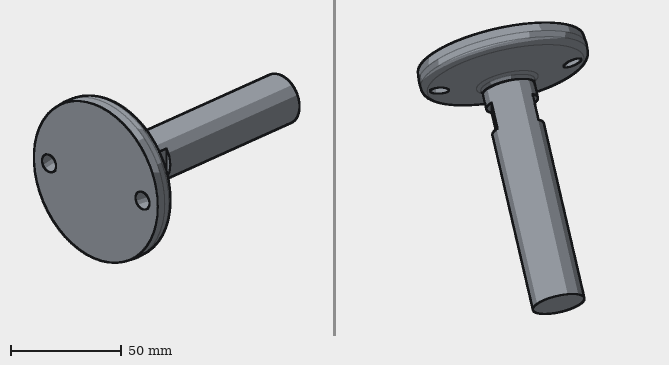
import cadquery as cq
import math

total_length = 122.0
foot_diameter = 78.0
shaft_diameter = 24.0

widest_height = 4.1
bottom_radius = 38.5
rim_radius = 38.8
rim_height = 7.1
shoulder_round = 2.9
cone_angle = math.radians(9.5)

root_round = 2.7
neck_angle = math.radians(55)
neck_base_radius = 12.6
neck_top_radius = 11.2
neck_top_height = 16.7

flats_width = 19.0
flats_start = 23.9
flats_length = 12.6

hole_diameter = 8.5
hole_offset = 29.0


def arc_point(center, radius, angle):
    """Point on an arc, with the angle measured from the radial direction."""
    return (center[0] + radius * math.cos(angle), center[1] + radius * math.sin(angle))


def make_foot():
    """Revolve the disc, its conical top and the neck about Y."""
    shoulder_center = (rim_radius - shoulder_round, rim_height)
    cone_normal = math.pi / 2 - cone_angle
    shoulder_middle = arc_point(shoulder_center, shoulder_round, cone_normal / 2)
    cone_outer = arc_point(shoulder_center, shoulder_round, cone_normal)

    root_start = cone_normal + math.pi
    root_end = math.pi * 1.5 - neck_angle
    root_center_radius = neck_base_radius - root_round * math.cos(root_end)
    cone_inner_radius = root_center_radius + root_round * math.cos(root_start)
    cone_inner_height = cone_outer[1] + (cone_outer[0] - cone_inner_radius) * math.tan(cone_angle)
    root_center = (root_center_radius, cone_inner_height - root_round * math.sin(root_start))
    root_middle = arc_point(root_center, root_round, (root_start + root_end) / 2)
    neck_base = arc_point(root_center, root_round, root_end)

    return (
        cq.Workplane("XY")
        .moveTo(0, 0)
        .lineTo(bottom_radius, 0)
        .lineTo(foot_diameter / 2, widest_height)
        .lineTo(rim_radius, rim_height)
        .threePointArc(shoulder_middle, cone_outer)
        .lineTo(cone_inner_radius, cone_inner_height)
        .threePointArc(root_middle, neck_base)
        .lineTo(neck_top_radius, neck_top_height)
        .lineTo(0, neck_top_height)
        .close()
        .revolve(360, (0, 0, 0), (0, 1, 0))
    )


def make_shaft():
    """Plain round shaft with two opposite wrench flats."""
    shaft_length = total_length - neck_top_height
    shaft = (
        cq.Workplane("XZ", origin=(0, neck_top_height, 0))
        .circle(shaft_diameter / 2)
        .extrude(-shaft_length)
    )
    for side in (-1, 1):
        flat_cutter = cq.Workplane("XY").box(
            shaft_diameter, flats_length, shaft_diameter
        ).translate((side * (flats_width + shaft_diameter) / 2, flats_start + flats_length / 2, 0))
        shaft = shaft.cut(flat_cutter)
    return shaft


def make_hole(side):
    """Tilted cylinder whose axis crosses the foot face at the hole offset."""
    overshoot = hole_diameter
    length = neck_top_height + 2 * overshoot
    direction = cq.Vector(side * math.sin(cone_angle), math.cos(cone_angle), 0)
    start = cq.Vector(side * hole_offset, 0, 0) - direction * overshoot
    return cq.Workplane(cq.Solid.makeCylinder(hole_diameter / 2, length, start, direction))


result = make_foot().union(make_shaft())
for hole_side in (-1, 1):
    result = result.cut(make_hole(hole_side))